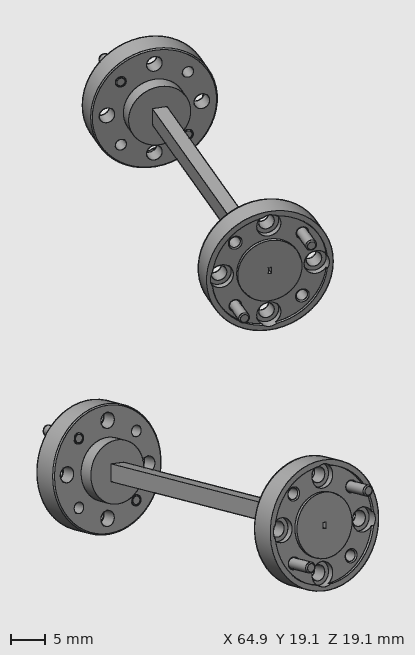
import cadquery as cq
import math

SIDES = (-1, 1)

overall_length = 64.9
pin_projection = 3.75

flange_diameter = 19.1
flange_thickness = 4.1
flange_chamfer = 0.2
hub_diameter = 9.35
hub_length = 2.4

recess_inner_diameter = 9.7
recess_outer_diameter = 17.4
recess_depth = 0.5

bolt_circle_radius = 7.15
screw_hole_diameter = 2.35
counterbore_diameter = 3.65
counterbore_depth = 1.55
screw_angles = (0, 90, 180, 270)

pin_diameter = 1.6
pin_chamfer = 0.2
pin_hole_chamfer = 0.1
socket_diameter = 1.7
socket_chamfer = 0.2
pin_angles = {-1: (135, 315), 1: (45, 225)}

tube_width = 2.2
tube_height = 2.6
aperture_width = 0.45
aperture_height = 0.9
aperture_depth = 1.95

mating_face_x = overall_length / 2 - pin_projection
back_face_x = mating_face_x - flange_thickness
hub_end_x = back_face_x - hub_length
recess_floor_x = mating_face_x - recess_depth


def plane_at(x, side):
    """Workplane at distance x towards one end, facing outwards, with its local y axis along Z."""
    return cq.Workplane(cq.Plane(origin=(side * x, 0, 0), xDir=(0, side, 0), normal=(side, 0, 0)))


def on_bolt_circle(angles, side):
    """Local bolt circle points at angles that turn from +Y towards +Z at both ends."""
    points = []
    for angle in angles:
        y = bolt_circle_radius * math.cos(math.radians(angle))
        z = bolt_circle_radius * math.sin(math.radians(angle))
        points.append((side * y, z))
    return points


def flange_blank(side):
    """Flange disc, chamfered on its back edge, with the hub behind it."""
    disc = plane_at(back_face_x, side).circle(flange_diameter / 2).extrude(flange_thickness)
    back_face = "<X" if side > 0 else ">X"
    hub = plane_at(hub_end_x, side).circle(hub_diameter / 2).extrude(hub_length)
    return disc.faces(back_face).chamfer(flange_chamfer).union(hub)


def recess(side):
    """Ring sunk into the mating face around a raised centre."""
    ring = plane_at(mating_face_x, side).circle(recess_outer_diameter / 2).circle(recess_inner_diameter / 2)
    return ring.extrude(-recess_depth)


def screw_holes(side):
    """Through holes counterbored from the mating face."""
    places = plane_at(mating_face_x, side).pushPoints(on_bolt_circle(screw_angles, side))
    holes = places.circle(screw_hole_diameter / 2).extrude(-flange_thickness)
    counterbores = places.circle(counterbore_diameter / 2).extrude(-counterbore_depth)
    return holes.union(counterbores)


def chamfered_holes(side, angles, diameter, chamfer):
    """Through holes whose mouths are chamfered at the recess floor."""
    places = plane_at(recess_floor_x, side).pushPoints(on_bolt_circle(angles, side))
    holes = places.circle(diameter / 2).extrude(recess_depth - flange_thickness)
    mouths = places.circle(diameter / 2 + chamfer).extrude(-chamfer, taper=45)
    return holes.union(mouths)


def aperture(side):
    """Rectangular blind opening in the middle of the mating face."""
    return plane_at(mating_face_x, side).rect(aperture_width, aperture_height).extrude(-aperture_depth)


def make_waveguide():
    """Rectangular tube joined to a finished flange at each end."""
    body = cq.Workplane("XY").box(2 * hub_end_x, tube_width, tube_height)
    for side in SIDES:
        body = body.union(flange_blank(side))
        body = body.cut(recess(side))
        body = body.cut(screw_holes(side))
        body = body.cut(chamfered_holes(side, pin_angles[side], pin_diameter, pin_hole_chamfer))
        body = body.cut(chamfered_holes(side, pin_angles[-side], socket_diameter, socket_chamfer))
        body = body.cut(aperture(side))
    return body


def make_pin(side, point):
    """Alignment pin, flush with the back of the flange and chamfered at both ends."""
    place = plane_at(back_face_x, side).pushPoints([point])
    pin = place.circle(pin_diameter / 2).extrude(flange_thickness + pin_projection)
    return pin.faces("<X or >X").chamfer(pin_chamfer)


waveguide = make_waveguide()

pins = []
for side in SIDES:
    for point in on_bolt_circle(pin_angles[side], side):
        pins.append(make_pin(side, point).val())

result = cq.Compound.makeCompound([waveguide.solids().val(), *pins])